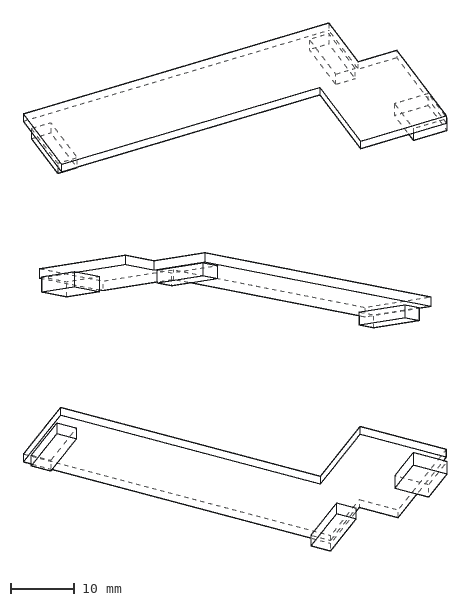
import cadquery as cq

overall_length = 60.5
overall_width = 29.0
overall_height = 3.95
plate_thickness = 1.5
arm_width = 14.05
head_left = 10.75
head_length = 14.95
shoulder_step = 6.7

rear_block_overhang = 0.6
rear_block_left = 21.0
rear_block_width = 6.95
rear_block_length = 5.85
rear_block_height = overall_height - plate_thickness

pad_width = 9.7
pad_length = 3.4
pad_height = 2.05
pad_end_inset = 0.35
front_pad_left = 2.2
back_pad_left = 0.7

plate_length = overall_length - rear_block_overhang
arm_length = plate_length - shoulder_step
head_front = plate_length - head_length


def make_plate():
    outline = [
        (0, 0),
        (arm_width, 0),
        (arm_width, head_front),
        (overall_width, head_front),
        (overall_width, plate_length),
        (head_left, plate_length),
        (head_left, arm_length),
        (0, arm_length),
    ]
    return cq.Workplane("XY").polyline(outline).close().extrude(plate_thickness)


def make_hanging_block(left, front, width, length, height):
    """Rectangular block whose top face touches the underside of the plate."""
    block = cq.Workplane("XY").box(width, length, height, centered=False)
    return block.translate((left, front, -height))


plate = make_plate()

rear_block = make_hanging_block(
    rear_block_left,
    overall_length - rear_block_length,
    rear_block_width,
    rear_block_length,
    rear_block_height,
)

pad_corners = [
    (front_pad_left, pad_end_inset),
    (back_pad_left, arm_length - pad_end_inset - pad_length),
]
pads = []
for left, front in pad_corners:
    pad = make_hanging_block(left, front, pad_width, pad_length, pad_height)
    pads.append(pad.val())

result = cq.Compound.makeCompound([plate.val(), rear_block.val(), *pads])